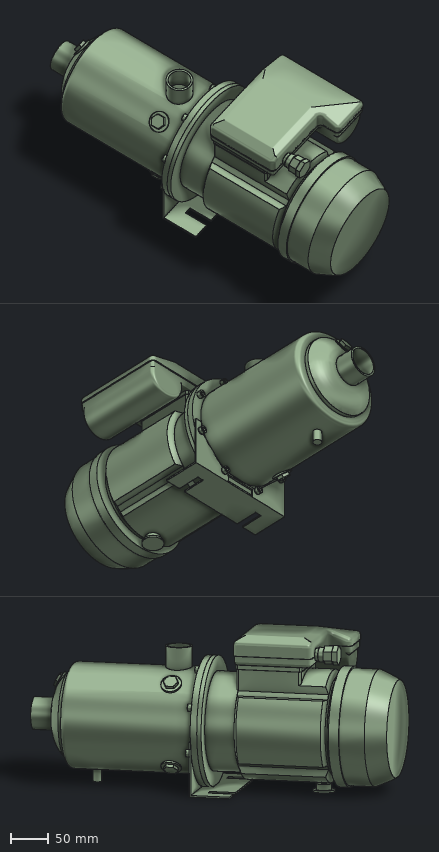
import cadquery as cq
import math


ground_z = -89.25
flange_radius = 176.5 / 2
pump_flange_thickness = 9.0
motor_flange_thickness = 6.0
lantern_radius = 67.3

casing_radius = 72.0
casing_start_x = -192.0
casing_front_radius = 130 / 2
casing_edge_radius = casing_radius - casing_front_radius
dome_radius = 116.1 / 2
dome_rim_x = -197.5
dome_middle = (-208.5, 44.5)
dome_tip_x = -215.0
inlet_start_x = -243.75
inlet_radius = 44.5 / 2
inlet_bore_radius = 38.95 / 2
outlet_x = -45.0
outlet_top_z = 100.5
outlet_radius = 36 / 2
outlet_bore_radius = 30.29 / 2
drain_leg_x = -157.0
drain_leg_radius = 12 / 2

plug_collar_radius = 28 / 2
plug_collar_height = 1.5
plug_hex_diameter = 20.4
plug_hex_height = 6.0
plug_root_depth = 5.0
side_plug_angle = 51.0
dome_plug_x = -207.0
dome_plug_z = 45.0
dome_plug_tilt = 27.0

screw_count = 8
screw_circle_radius = 81.0
screw_first_angle = 22.5
screw_head_radius = 10 / 2
screw_head_height = 6.0
screw_shank_radius = 7 / 2
screw_socket_diameter = 6.0
screw_socket_depth = 3.0

bracket_thickness = 2.5
bracket_half_width = 83.5
bracket_top_z = -14.5
bracket_foot_end_x = 44.25
bracket_cutout_apothem = 73.4
bracket_window_half_width = 23.0
bracket_window_top_z = -76.3
bracket_slot_width = 10.0
bracket_slot_length = 35.0
bracket_slot_y = 54.5
bracket_front_x = -pump_flange_thickness - bracket_thickness
bracket_foot_top_z = ground_z + bracket_thickness

neck_start_x = 44.25
frame_start_x = 46.3
frame_end_x = 171.2
frame_radius = 76.2
frame_end_chamfer_length = 4.5
frame_end_chamfer_depth = 9.0
groove_wall = 45.0
groove_corner = 51.0
neck_half_width = groove_wall
neck_end_x = 132.8
neck_corner_chamfer = 3.0
neck_rim_z = 80.0
neck_rim_overhang = 1.0
shield_collar_radius = 67.3
shield_collar_end_x = 173.5
shield_radius = 65.0

cover_start_x = 179.0
cover_band_end_x = 193.0
cover_taper_x = 227.7
cover_end_x = 255.35
cover_band_radius = 81.2
cover_radius = 79.0
cover_end_radius = 65.8
cover_taper_bulge = 0.8

box_min_x = 40.0
box_max_x = 179.2
box_min_y = -49.5
box_max_y = 114.0
box_bottom_z = 86.0
box_seam_z = 98.4
box_top_z = 124.75
plateau_min_x = 54.4
plateau_max_x = 134.5
plateau_min_y = -32.4
plateau_max_y = 53.0
lid_low_side_z = 117.5
lid_high_drop_z = 108.5
base_inset = 1.5
pocket_radius = 28.6
pocket_max_y = box_max_y - base_inset
pocket_min_y = pocket_max_y - 2 * pocket_radius
pocket_center_z = 82.5
pocket_end_x = 175.0
pocket_edge_radius = 5.0
corner_cut_x = 148.0
corner_cut_y = pocket_min_y - base_inset
lid_edge_radius = 6.5
plateau_edge_radius = 6.0
base_edge_radius = 4.0

gland_y = -21.0
gland_z = 100.4
gland_neck_radius = 17 / 2
gland_neck_end_x = 152.5
gland_barrel_radius = 19.73 / 2
gland_barrel_end_x = 160.0
gland_body_end_x = 172.0
gland_body_hex_diameter = 24.5
gland_nut_hex_diameter = 26.8

foot_x = 154.0
foot_stem_radius = 7 / 2
foot_stem_top_z = -68.0
foot_pad_radius = 21 / 2
foot_pad_top_z = -78.5
foot_disc_radius = 30 / 2
foot_disc_top_z = -86.5


def cylinder_x(radius, start_x, end_x, y=0.0, z=0.0):
    """Cylinder along X."""
    return cq.Workplane("YZ", origin=(start_x, y, z)).circle(radius).extrude(end_x - start_x)


def hexagon_x(diameter, start_x, end_x, y=0.0, z=0.0):
    """Hexagonal bar along X, sized across its corners."""
    return cq.Workplane("YZ", origin=(start_x, y, z)).polygon(6, diameter).extrude(end_x - start_x)


def cylinder_z(radius, x, bottom_z, top_z):
    """Upright cylinder on the Y = 0 plane."""
    return cq.Workplane("XY", origin=(x, 0, bottom_z)).circle(radius).extrude(top_z - bottom_z)


def block(start, end):
    """Box between two opposite corners."""
    size = [b - a for a, b in zip(start, end)]
    return cq.Workplane("XY").box(*size, centered=False).translate(start)


def screw_positions():
    """(y, z) of each flange screw."""
    angles = [math.radians(screw_first_angle + i * 360 / screw_count) for i in range(screw_count)]
    return [(screw_circle_radius * math.cos(a), screw_circle_radius * math.sin(a)) for a in angles]


def above_bracket_foot(shape):
    """Flatten the bottom of a flange where it stands on the bracket foot."""
    below = block(
        (-pump_flange_thickness, -flange_radius, ground_z),
        (motor_flange_thickness, flange_radius, bracket_foot_top_z),
    )
    return shape.cut(below)


def make_plug(origin, outward):
    """Round collar and hexagonal head, rooted below the surface it sits on."""
    plane = cq.Plane(origin=origin, xDir=(0, 1, 0) if outward[1] == 0 else (1, 0, 0), normal=outward)
    collar = (
        cq.Workplane(plane)
        .workplane(offset=-plug_root_depth)
        .circle(plug_collar_radius)
        .extrude(plug_root_depth + plug_collar_height)
    )
    head = cq.Workplane(plane).polygon(6, plug_hex_diameter).extrude(plug_hex_height)
    return collar.union(head)


def make_screw(y, z):
    """Socket-head screw on the pump flange; the low ones also clamp the bracket."""
    seat_x = bracket_front_x if z < bracket_top_z else -pump_flange_thickness
    head_x = seat_x - screw_head_height
    head = cylinder_x(screw_head_radius, head_x, seat_x, y, z)
    shank = cylinder_x(screw_shank_radius, seat_x, 0, y, z)
    socket = hexagon_x(screw_socket_diameter, head_x, head_x + screw_socket_depth, y, z)
    return head.union(shank).cut(socket)


def make_casing():
    shell = (
        cq.Workplane("XY")
        .moveTo(dome_tip_x, 0)
        .lineTo(dome_tip_x, inlet_radius)
        .threePointArc(dome_middle, (dome_rim_x, dome_radius))
        .lineTo(casing_start_x, dome_radius)
        .lineTo(casing_start_x, casing_front_radius)
        .radiusArc((casing_start_x + casing_edge_radius, casing_radius), casing_edge_radius)
        .lineTo(-pump_flange_thickness, casing_radius)
        .lineTo(-pump_flange_thickness, flange_radius)
        .lineTo(0, flange_radius)
        .lineTo(0, 0)
        .close()
        .revolve(360, (0, 0, 0), (1, 0, 0))
    )
    casing = above_bracket_foot(shell)

    inlet = cylinder_x(inlet_radius, inlet_start_x, dome_tip_x)
    casing = casing.union(inlet.cut(cylinder_x(inlet_bore_radius, inlet_start_x, dome_tip_x)))

    outlet = cylinder_z(outlet_radius, outlet_x, 0, outlet_top_z)
    outlet_bore = cylinder_z(outlet_bore_radius, outlet_x, 0, outlet_top_z)
    casing = casing.union(outlet.cut(outlet_bore))
    casing = casing.union(cylinder_z(drain_leg_radius, drain_leg_x, ground_z, 0))

    for angle in (side_plug_angle, -side_plug_angle):
        outward = (0, -math.cos(math.radians(angle)), math.sin(math.radians(angle)))
        origin = (outlet_x, casing_radius * outward[1], casing_radius * outward[2])
        casing = casing.union(make_plug(origin, outward))
    tilt = math.radians(dome_plug_tilt)
    casing = casing.union(make_plug((dome_plug_x, 0, dome_plug_z), (-math.cos(tilt), 0, math.sin(tilt))))

    for y, z in screw_positions():
        casing = casing.union(make_screw(y, z))
    return casing


def make_bracket():
    bracket = block(
        (bracket_front_x, -bracket_half_width, ground_z),
        (-pump_flange_thickness, bracket_half_width, bracket_top_z),
    )
    bracket = bracket.union(block(
        (bracket_front_x, -bracket_half_width, ground_z),
        (bracket_foot_end_x, bracket_half_width, bracket_foot_top_z),
    ))

    cutout_diameter = 2 * bracket_cutout_apothem / math.cos(math.pi / 8)
    cutout = cq.Workplane("YZ", origin=(bracket_front_x, 0, 0)).polygon(8, cutout_diameter)
    bracket = bracket.cut(cutout.extrude(bracket_thickness).rotate((0, 0, 0), (1, 0, 0), 180 / 8))

    bracket = bracket.cut(block(
        (bracket_front_x, -bracket_window_half_width, bracket_foot_top_z),
        (-pump_flange_thickness, bracket_window_half_width, bracket_window_top_z),
    ))
    for y in (-bracket_slot_y, bracket_slot_y):
        bracket = bracket.cut(block(
            (bracket_foot_end_x - bracket_slot_length, y - bracket_slot_width / 2, ground_z),
            (bracket_foot_end_x, y + bracket_slot_width / 2, bracket_foot_top_z),
        ))
    for y, z in screw_positions():
        if z < bracket_top_z:
            bracket = bracket.cut(cylinder_x(screw_shank_radius, bracket_front_x, -pump_flange_thickness, y, z))
    return bracket


def make_frame():
    """Motor frame: a drum with bevelled ends and four stepped grooves along it."""
    bevel_radius = frame_radius - frame_end_chamfer_depth
    frame = (
        cq.Workplane("XY")
        .moveTo(frame_start_x, 0)
        .lineTo(frame_start_x, bevel_radius)
        .lineTo(frame_start_x + frame_end_chamfer_length, frame_radius)
        .lineTo(frame_end_x - frame_end_chamfer_length, frame_radius)
        .lineTo(frame_end_x, bevel_radius)
        .lineTo(frame_end_x, 0)
        .close()
        .revolve(360, (0, 0, 0), (1, 0, 0))
    )
    for side_y in (-1, 1):
        for side_z in (-1, 1):
            groove = (
                cq.Workplane("YZ", origin=(frame_start_x, 0, 0))
                .moveTo(side_y * frame_radius, side_z * groove_wall)
                .lineTo(side_y * groove_corner, side_z * groove_wall)
                .lineTo(side_y * groove_wall, side_z * groove_corner)
                .lineTo(side_y * groove_wall, side_z * frame_radius)
                .lineTo(side_y * frame_radius, side_z * frame_radius)
                .close()
                .extrude(frame_end_x - frame_start_x)
            )
            frame = frame.cut(groove)
    return frame


def make_motor():
    flange = above_bracket_foot(cylinder_x(flange_radius, 0, motor_flange_thickness))
    motor = flange.union(cylinder_x(lantern_radius, motor_flange_thickness, frame_start_x))
    motor = motor.union(make_frame())
    motor = motor.union(cylinder_x(shield_collar_radius, frame_end_x, shield_collar_end_x))
    motor = motor.union(cylinder_x(shield_radius, shield_collar_end_x, cover_start_x))

    neck = block(
        (neck_start_x, -neck_half_width, groove_corner),
        (neck_end_x, neck_half_width, box_bottom_z),
    ).edges("|Z").chamfer(neck_corner_chamfer)
    rim_half_width = neck_half_width + neck_rim_overhang
    rim = block(
        (neck_start_x - neck_rim_overhang, -rim_half_width, neck_rim_z),
        (neck_end_x + neck_rim_overhang, rim_half_width, box_bottom_z),
    ).edges("|Z").chamfer(neck_corner_chamfer)
    motor = motor.union(neck).union(rim)
    return motor.cut(cylinder_z(foot_stem_radius, foot_x, -frame_radius, foot_stem_top_z))


def make_fan_cover():
    taper_middle = (
        (cover_taper_x + cover_end_x) / 2,
        (cover_radius + cover_end_radius) / 2 + cover_taper_bulge,
    )
    return (
        cq.Workplane("XY")
        .moveTo(cover_start_x, 0)
        .lineTo(cover_start_x, cover_band_radius)
        .lineTo(cover_band_end_x, cover_band_radius)
        .lineTo(cover_band_end_x, cover_radius)
        .lineTo(cover_taper_x, cover_radius)
        .threePointArc(taper_middle, (cover_end_x, cover_end_radius))
        .lineTo(cover_end_x, 0)
        .close()
        .revolve(360, (0, 0, 0), (1, 0, 0))
    )


def make_lid():
    """Hipped lid: the profile along X crossed with the profile along Y."""
    across = (
        cq.Workplane("YZ", origin=(box_min_x, 0, 0))
        .polyline([
            (box_min_y, box_seam_z),
            (box_min_y, lid_low_side_z),
            (plateau_min_y, box_top_z),
            (plateau_max_y, box_top_z),
            (box_max_y, lid_high_drop_z),
            (box_max_y, box_seam_z),
        ])
        .close()
        .extrude(box_max_x - box_min_x)
    )
    along = (
        cq.Workplane("XZ", origin=(0, box_max_y, 0))
        .polyline([
            (box_min_x, box_seam_z),
            (box_min_x, lid_low_side_z),
            (plateau_min_x, box_top_z),
            (plateau_max_x, box_top_z),
            (box_max_x, lid_high_drop_z),
            (box_max_x, box_seam_z),
        ])
        .close()
        .extrude(box_max_y - box_min_y)
    )
    corner = block((corner_cut_x, box_min_y, box_seam_z), (box_max_x, corner_cut_y, box_top_z))
    lid = across.intersect(along).cut(corner)

    margin = 1.0

    above_seam = cq.selectors.BoxSelector(
        (box_min_x - margin, box_min_y - margin, box_seam_z + margin),
        (box_max_x + margin, box_max_y + margin, box_top_z - margin),
    )
    lid = lid.faces("|X or |Y").edges(above_seam).fillet(lid_edge_radius)
    return lid.faces(">Z").edges().fillet(plateau_edge_radius)


def make_box_base():
    base = block(
        (box_min_x + base_inset, box_min_y + base_inset, box_bottom_z),
        (box_max_x - base_inset, box_max_y - base_inset, box_seam_z),
    )
    base = base.cut(block(
        (corner_cut_x - base_inset, box_min_y, box_bottom_z),
        (box_max_x, pocket_min_y, box_seam_z),
    ))
    base = base.edges("|Z").fillet(base_edge_radius).faces("<Z").edges().fillet(base_edge_radius)

    pocket = (
        cq.Workplane("YZ", origin=(box_min_x + base_inset, 0, 0))
        .moveTo(pocket_min_y, box_seam_z)
        .lineTo(pocket_min_y, pocket_center_z)
        .radiusArc((pocket_max_y, pocket_center_z), -pocket_radius)
        .lineTo(pocket_max_y, box_seam_z)
        .close()
        .extrude(pocket_end_x - box_min_x - base_inset)
    )
    pocket = pocket.faces("<X or >X").edges("not >Z").fillet(pocket_edge_radius)
    return base.union(pocket)


def make_gland():
    """Cable gland along X, its hexagons standing on a corner."""
    neck = cylinder_x(gland_neck_radius, corner_cut_x, gland_neck_end_x)
    barrel = cylinder_x(gland_barrel_radius, gland_neck_end_x, gland_barrel_end_x)
    body = hexagon_x(gland_body_hex_diameter, gland_barrel_end_x, gland_body_end_x)
    nut = hexagon_x(gland_nut_hex_diameter, gland_body_end_x, box_max_x)
    gland = neck.union(barrel).union(body).union(nut)
    return gland.rotate((0, 0, 0), (1, 0, 0), 90).translate((0, gland_y, gland_z))


def make_foot():
    disc = cylinder_z(foot_disc_radius, foot_x, ground_z, foot_disc_top_z)
    pad = cylinder_z(foot_pad_radius, foot_x, foot_disc_top_z, foot_pad_top_z)
    stem = cylinder_z(foot_stem_radius, foot_x, foot_pad_top_z, foot_stem_top_z)
    return disc.union(pad).union(stem)


casing = make_casing()
bracket = make_bracket()
motor = make_motor()
fan_cover = make_fan_cover()
terminal_box = make_lid().union(make_box_base())
gland = make_gland()
foot = make_foot()

result = cq.Compound.makeCompound([
    casing.val(),
    bracket.val(),
    motor.val(),
    fan_cover.val(),
    terminal_box.val(),
    gland.val(),
    foot.val(),
])